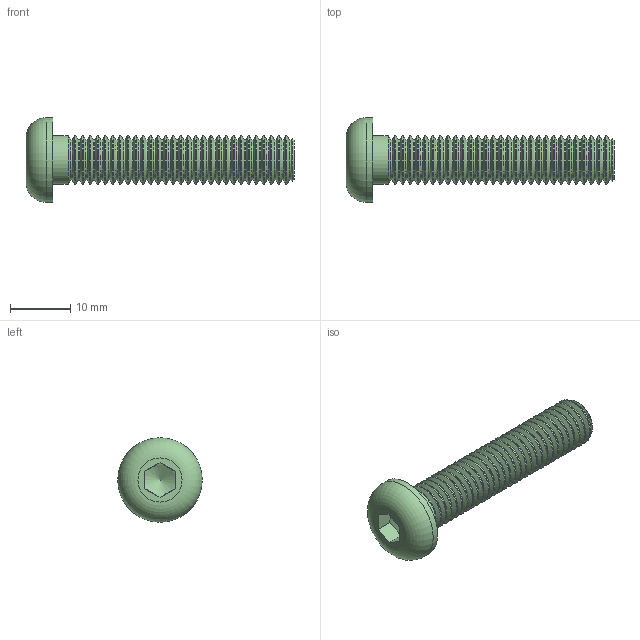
import cadquery as cq
import math

head_diameter = 14.0
head_height = 4.4
dome_radius = 3.35

socket_across_flats = 5.0
socket_depth = 2.6
socket_tip_angle = 120.0

shank_length = 40.0
shank_diameter = 8.0
pitch = 1.25
thread_count = 30
flank_half_angle = 30.0
crest_width = pitch / 8
root_width = pitch / 4
end_face_diameter = 6.5
end_chamfer_angle = 45.0

total_length = head_height + shank_length
head_radius = head_diameter / 2
shank_radius = shank_diameter / 2
flank_width = (pitch - crest_width - root_width) / 2
groove_depth = flank_width / math.tan(math.radians(flank_half_angle))
root_radius = shank_radius - groove_depth
first_groove_start = total_length - thread_count * pitch + crest_width / 2


def revolve_about_axis(profile):
    """Turn a closed XY profile into a solid of revolution about the X axis."""
    return profile.close().revolve(360, (0, 0, 0), (1, 0, 0))


def make_head():
    """Domed head whose quarter-round edge runs into a short cylindrical rim."""
    face_radius = head_radius - dome_radius
    half_arc_offset = dome_radius * math.sin(math.pi / 4)
    arc_middle = (dome_radius - half_arc_offset, face_radius + half_arc_offset)
    profile = (
        cq.Workplane("XY")
        .lineTo(0, face_radius)
        .threePointArc(arc_middle, (dome_radius, head_radius))
        .lineTo(head_height, head_radius)
        .lineTo(head_height, 0)
    )
    return revolve_about_axis(profile)


def make_shank():
    """Plain neck followed by parallel V-shaped ridges and a chamfered end."""
    profile = cq.Workplane("XY").moveTo(head_height, 0).lineTo(head_height, shank_radius)
    for index in range(thread_count):
        groove_start = first_groove_start + index * pitch
        root_start = groove_start + flank_width
        root_end = root_start + root_width
        profile = (
            profile.lineTo(groove_start, shank_radius)
            .lineTo(root_start, root_radius)
            .lineTo(root_end, root_radius)
            .lineTo(root_end + flank_width, shank_radius)
        )
    profile = profile.lineTo(total_length, shank_radius).lineTo(total_length, 0)
    return revolve_about_axis(profile).intersect(make_end_envelope())


def make_end_envelope():
    """Cylinder around the shank, chamfered at the free end."""
    end_radius = end_face_diameter / 2
    chamfer_length = (shank_radius - end_radius) / math.tan(math.radians(end_chamfer_angle))
    profile = (
        cq.Workplane("XY")
        .moveTo(head_height, 0)
        .lineTo(head_height, shank_radius)
        .lineTo(total_length - chamfer_length, shank_radius)
        .lineTo(total_length, end_radius)
        .lineTo(total_length, 0)
    )
    return revolve_about_axis(profile)


def make_socket():
    """Hexagonal socket with two corners on the Z axis, ended by a cone that meets the corners."""
    corner_diameter = socket_across_flats / math.cos(math.pi / 6)
    cone_slope = math.tan(math.radians(socket_tip_angle / 2))
    total_depth = socket_depth + corner_diameter / 2 / cone_slope
    hexagon = (
        cq.Workplane("YZ")
        .polygon(6, corner_diameter)
        .extrude(total_depth)
        .rotate((0, 0, 0), (1, 0, 0), 90)
    )
    cone = revolve_about_axis(
        cq.Workplane("XY")
        .lineTo(0, total_depth * cone_slope)
        .lineTo(total_depth, 0)
    )
    return hexagon.intersect(cone)


result = make_head().union(make_shank()).cut(make_socket())